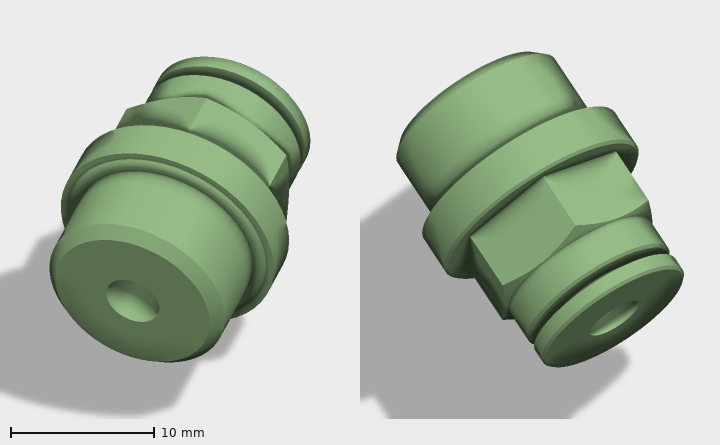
import cadquery as cq
import math


bore_diameter = 4.0

thread_diameter = 13.16
thread_chamfer = 0.8

flange_diameter = 16.0
flange_chamfer = 0.2
seal_outer_diameter = 14.92
seal_flat_diameter = 14.0
seal_round_radius = 0.5

hex_across_flats = 12.0
hex_chamfer_angle = 30.0

collar_diameter = 11.7
neck_diameter = 7.9
collar_chamfer = 0.2

flange_start = 6.5
flange_end = 9.6
hex_end = 14.5
collar_end = 17.1
button_start = 17.8
overall_length = 19.0


def cylinder(diameter, start, end):
    """Cylinder along +Y between two stations."""
    plane = cq.Plane(origin=(0, start, 0), xDir=(1, 0, 0), normal=(0, 1, 0))
    return cq.Workplane(plane).circle(diameter / 2).extrude(end - start)


def make_shank():
    shank = cylinder(thread_diameter, 0, flange_start)
    return shank.faces("<Y").chamfer(thread_chamfer)


def make_flange():
    flange = cylinder(flange_diameter, flange_start, flange_end)
    return flange.faces(">Y").chamfer(flange_chamfer)


def make_seal_ring():
    """Ring whose outer edge is an arc tangent to its flat face."""
    outer_radius = seal_outer_diameter / 2
    flat_radius = seal_flat_diameter / 2
    arc_width = outer_radius - flat_radius
    arc_height = seal_round_radius - math.sqrt(seal_round_radius**2 - arc_width**2)
    seal_face = flange_start - arc_height
    profile = (
        cq.Workplane("XY")
        .moveTo(0, flange_start)
        .lineTo(0, seal_face)
        .lineTo(flat_radius, seal_face)
        .radiusArc((outer_radius, flange_start), -seal_round_radius)
        .close()
    )
    return profile.revolve(360, (0, 0, 0), (0, 1, 0))


def make_hexagon():
    """Hexagonal prism whose corners are trimmed by a cone starting at the collar."""
    corner_radius = hex_across_flats / 2 / math.cos(math.radians(30))
    hex_length = hex_end - flange_end
    plane = cq.Plane(origin=(0, flange_end, 0), xDir=(0, 0, 1), normal=(0, 1, 0))
    prism = cq.Workplane(plane).polygon(6, 2 * corner_radius).extrude(hex_length)

    collar_radius = collar_diameter / 2
    cone_drop = hex_length / 2
    cone_base_radius = collar_radius + cone_drop / math.tan(math.radians(hex_chamfer_angle))
    trimmer = (
        cq.Workplane("XY")
        .moveTo(0, flange_end)
        .lineTo(cone_base_radius, flange_end)
        .lineTo(cone_base_radius, hex_end - cone_drop)
        .lineTo(collar_radius, hex_end)
        .lineTo(0, hex_end)
        .close()
        .revolve(360, (0, 0, 0), (0, 1, 0))
    )
    return prism.intersect(trimmer)


def make_collar():
    collar = cylinder(collar_diameter, hex_end, collar_end)
    return collar.faces(">Y").chamfer(collar_chamfer)


def make_release_button():
    neck = cylinder(neck_diameter, collar_end, button_start)
    button = cylinder(collar_diameter, button_start, overall_length)
    return neck.union(button.faces(">Y").chamfer(collar_chamfer))


body = (
    make_shank()
    .union(make_seal_ring())
    .union(make_flange())
    .union(make_hexagon())
    .union(make_collar())
    .union(make_release_button())
)

result = body.cut(cylinder(bore_diameter, 0, overall_length))